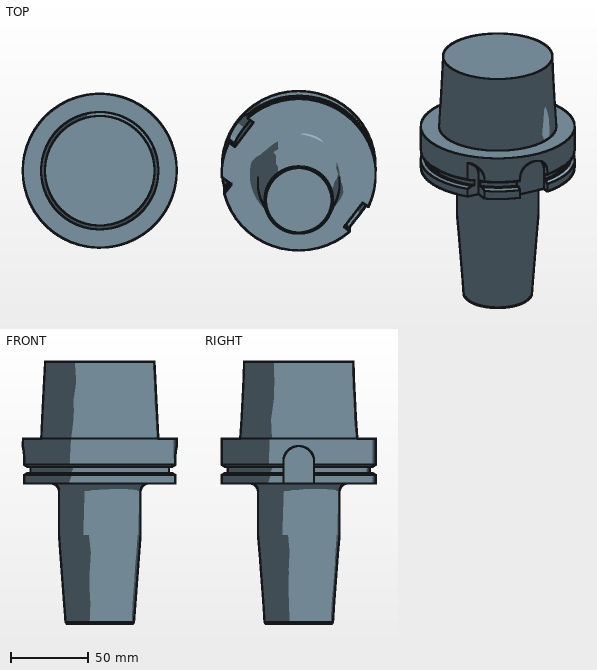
import cadquery as cq

TOTAL_HEIGHT = 170.0
FLANGE_TOP = 120.0
FLANGE_BOTTOM = 91.0
NECK_BOTTOM = 57.3
GROOVE_CENTRE = 99.8

SHANK_TOP_RADIUS = 35.5
SHANK_BASE_RADIUS = 38.0

FLANGE_RADIUS = 50.0
GROOVE_FLOOR_RADIUS = 46.0
GROOVE_FLOOR_WIDTH = 3.7
GROOVE_MOUTH_WIDTH = 6.8
GROOVE_LIP_RADIUS = 47.6

NECK_RADIUS = 26.5
NECK_FILLET = 5.1
NOSE_RADIUS = 22.3
NOSE_CHAMFER = 1.0

SLOT_WIDTH = 20.0
SLOT_TOP = 115.3
DRIVE_SLOT_FLOOR = 44.2
SIDE_SLOT_FLOOR = 31.1
SIDE_SLOT_OFFSET = 41.1


def make_shank():
    """Tapered shank standing on the top face of the flange."""
    return (
        cq.Workplane("XZ")
        .moveTo(0, FLANGE_TOP)
        .lineTo(SHANK_BASE_RADIUS, FLANGE_TOP)
        .lineTo(SHANK_TOP_RADIUS, TOTAL_HEIGHT)
        .lineTo(0, TOTAL_HEIGHT)
        .close()
        .revolve(360, (0, 0, 0), (0, 1, 0))
    )


def make_turned_holder():
    """Flange, filleted neck and tapered nose, before the groove and slots."""
    flange = (
        cq.Workplane("XY", origin=(0, 0, FLANGE_BOTTOM))
        .circle(FLANGE_RADIUS)
        .extrude(FLANGE_TOP - FLANGE_BOTTOM)
    )
    stem = (
        cq.Workplane("XZ")
        .lineTo(NOSE_RADIUS - NOSE_CHAMFER, 0)
        .lineTo(NOSE_RADIUS, NOSE_CHAMFER)
        .lineTo(NECK_RADIUS, NECK_BOTTOM)
        .lineTo(NECK_RADIUS, FLANGE_BOTTOM - NECK_FILLET)
        .radiusArc((NECK_RADIUS + NECK_FILLET, FLANGE_BOTTOM), NECK_FILLET)
        .lineTo(0, FLANGE_BOTTOM)
        .close()
        .revolve(360, (0, 0, 0), (0, 1, 0))
    )
    return flange.union(stem)


def make_groove_cutter():
    """Ring with a flat floor, square lower sides and a flared mouth."""
    floor_half = GROOVE_FLOOR_WIDTH / 2
    mouth_half = GROOVE_MOUTH_WIDTH / 2
    return (
        cq.Workplane("XZ")
        .moveTo(GROOVE_FLOOR_RADIUS, GROOVE_CENTRE - floor_half)
        .lineTo(GROOVE_LIP_RADIUS, GROOVE_CENTRE - floor_half)
        .lineTo(FLANGE_RADIUS, GROOVE_CENTRE - mouth_half)
        .lineTo(FLANGE_RADIUS, GROOVE_CENTRE + mouth_half)
        .lineTo(GROOVE_LIP_RADIUS, GROOVE_CENTRE + floor_half)
        .lineTo(GROOVE_FLOOR_RADIUS, GROOVE_CENTRE + floor_half)
        .close()
        .revolve(360, (0, 0, 0), (0, 1, 0))
    )


def make_slot_cutter(floor_distance, offset_y):
    """Round-topped slot, open below, cut into the -X side down to a flat floor."""
    half_width = SLOT_WIDTH / 2
    arc_centre = SLOT_TOP - half_width
    return (
        cq.Workplane("YZ", origin=(-FLANGE_RADIUS, 0, 0))
        .moveTo(offset_y - half_width, FLANGE_BOTTOM)
        .lineTo(offset_y + half_width, FLANGE_BOTTOM)
        .lineTo(offset_y + half_width, arc_centre)
        .threePointArc((offset_y, SLOT_TOP), (offset_y - half_width, arc_centre))
        .close()
        .extrude(FLANGE_RADIUS - floor_distance)
    )


def make_holder():
    holder = make_turned_holder().cut(make_groove_cutter())
    drive_slot = make_slot_cutter(DRIVE_SLOT_FLOOR, 0)
    for angle in (0, 180):
        holder = holder.cut(drive_slot.rotate((0, 0, 0), (0, 0, 1), angle))
    return holder.cut(make_slot_cutter(SIDE_SLOT_FLOOR, SIDE_SLOT_OFFSET))


shank = make_shank()
holder = make_holder()

result = cq.Compound.makeCompound([shank.val(), holder.val()])